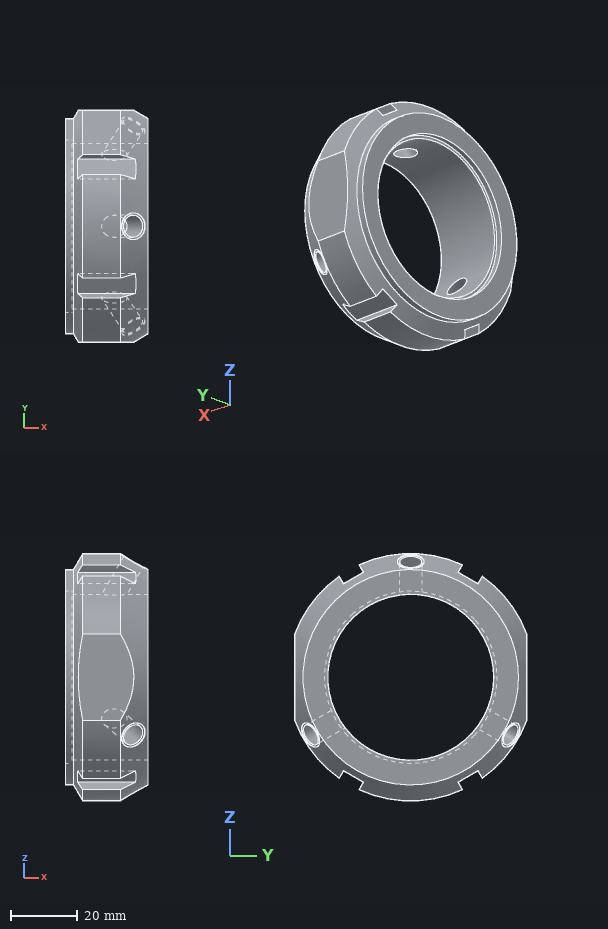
import cadquery as cq
import math

length = 25.0
outer_radius = 74.7 / 2
collar_radius = 65 / 2
collar_length = 2.5
bevel_height = outer_radius - collar_radius
front_bevel_angle = 60
rear_bevel_angle = 30
front_bevel_end = collar_length + bevel_height / math.tan(math.radians(front_bevel_angle))
rear_bevel_start = length - bevel_height / math.tan(math.radians(rear_bevel_angle))

bore_radius = 50.0 / 2
counterbore_radius = 52.0 / 2
counterbore_depth = 2.0

flat_width = 70.0
slot_width = 6.9
slot_floor_radius = 34.6
slot_angles = (30, 150, 210, 330)

hole_diameter = 6.65
spotface_diameter = 8.1
spotface_depth = 0.3
hole_x = 20.6
hole_count = 3
hole_depth = 18.7
overshoot = 0.75


def turned_body():
    """Revolve the ring section, including the counterbored bore."""
    section = [
        (0, counterbore_radius),
        (0, collar_radius),
        (collar_length, collar_radius),
        (front_bevel_end, outer_radius),
        (rear_bevel_start, outer_radius),
        (length, collar_radius),
        (length, bore_radius),
        (counterbore_depth, bore_radius),
        (counterbore_depth, counterbore_radius),
    ]
    return cq.Workplane("XY").polyline(section).close().revolve(360, (0, 0), (1, 0))


def slot_cutter(angle):
    """Block that leaves a flat slot floor, turned about X from +Z."""
    block = cq.Workplane("XY").box(length, slot_width, outer_radius, centered=(False, True, False))
    return block.translate((0, 0, slot_floor_radius)).rotate((0, 0, 0), (1, 0, 0), angle)


def screw_hole_cutter(angle):
    """Drill with a shallow flat spotface, leaning with the rear bevel."""
    spotface_radius = spotface_diameter / 2
    hole_radius = hole_diameter / 2
    profile = [
        (0, -hole_depth),
        (hole_radius, -hole_depth),
        (hole_radius, -spotface_depth),
        (spotface_radius, -spotface_depth),
        (spotface_radius, overshoot),
        (0, overshoot),
    ]
    drill = cq.Workplane("XZ").polyline(profile).close().revolve(360, (0, 0), (0, 1))
    bevel_radius = collar_radius + (length - hole_x) * math.tan(math.radians(rear_bevel_angle))
    drill = drill.rotate((0, 0, 0), (0, 1, 0), rear_bevel_angle)
    return drill.translate((hole_x, 0, bevel_radius)).rotate((0, 0, 0), (1, 0, 0), angle)


flats = cq.Workplane("XY").box(length, flat_width, 2 * outer_radius, centered=(False, True, True))
result = turned_body().intersect(flats)
for slot_angle in slot_angles:
    result = result.cut(slot_cutter(slot_angle))
for index in range(hole_count):
    result = result.cut(screw_hole_cutter(index * 360 / hole_count))